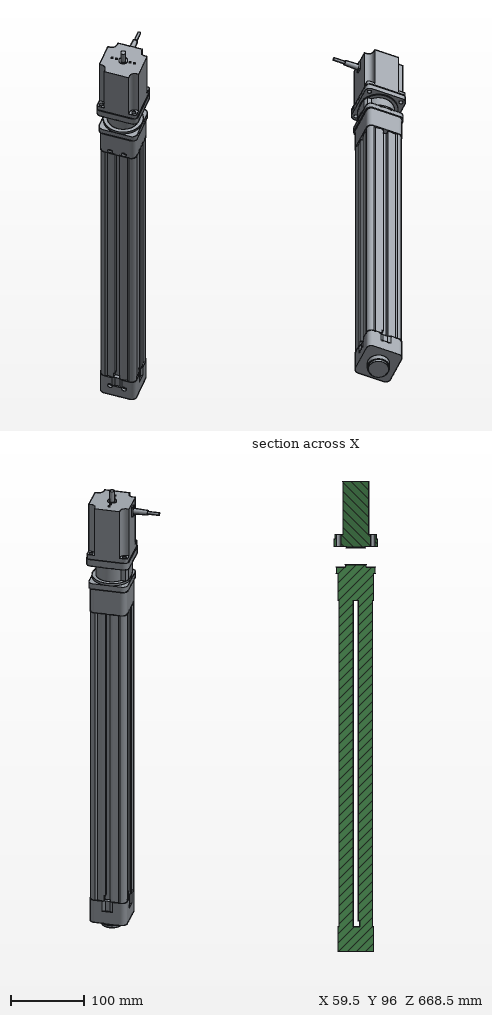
import cadquery as cq

BASE_Z = 12.0
PROFILE_BOTTOM_Z = 46.0
PROFILE_TOP_Z = 491.0
PLATE_Z = 527.5
PLATE_TOP_Z = 536.0
LOWER_RIM_Z = 539.5
UPPER_RIM_Z = 562.0
MOTOR_Z = 564.0
FLANGE_TOP_Z = 574.0
NOTCH_Z = 581.0
MOTOR_TOP_Z = 653.0
TOTAL_HEIGHT = 668.5

BODY_SIDE = 52.0
CORNER_RADIUS = 7.5
PROFILE_SIDE = 51.5
PROFILE_RADIUS = 8.0
PLATE_SIDE = 55.0
SPIGOT_RADIUS = 15.5
SPIGOT_TIP_RADIUS = 14.0
SPIGOT_LIP_Z = 4.0

LAND_INNER = 17.5
PANEL_HALF = 15.0
PANEL_DEPTH = 2.0
LIP_HALF = 7.5
LIP_DEPTH = 1.0
SLOT_HALF = 3.5
SLOT_DEPTH = 7.0
RELIEF_WIDTH = 2.0
RELIEF_HEIGHT = 8.0

CHANNEL_END_Z = 31.0
CHANNEL_DEPTH = 2.0

PORT_X = 10.0
PORT_DEPTH = 4.0
PORT_RADIUS = 3.5
LOWER_PORT_Z = 29.5
UPPER_PORT_Z = 495
PORT_BORE_RADIUS = 1.7
PORT_BORE_DEPTH = 10.0

COUPLING_RADIUS = 22.0
RIM_RADIUS = 27
COVER_HALF = 15.0
COVER_CHAMFER = 3.5

FLANGE_SIDE = 59.5
MOTOR_SIDE = 57.0
MOTOR_CORNER_RADIUS = 3.0
NOTCH_SIZE = 11.0
NOTCH_RADIUS = 7.5
BOLT_OFFSET = 23.5
BOLT_RADIUS = 3.0
SHAFT_RADIUS = 3.5
SHAFT_RING_RADIUS = 6.0
SHAFT_RING_DEPTH = 1.0
REAR_HOLE_X = (10.0, 16.0)
REAR_HOLE_RADIUS = 1.5
REAR_HOLE_DEPTH = 2.0

CABLE_Z = 641.0
CABLE_RADIUS = 2.0
OVERALL_DEPTH = 96.0
CABLE_END_Y = OVERALL_DEPTH - FLANGE_SIDE / 2
GLAND_END_Y = 50.0
GLAND_ROOT_RADIUS = 4.0
GLAND_TIP_RADIUS = 3.5
GLAND_PLATE_WIDTH = 8.0
GLAND_PLATE_HEIGHT = 14.0
GLAND_PLATE_THICKNESS = 2.0


def rounded_block(side, radius, bottom, top):
    block = cq.Workplane("XY").workplane(offset=bottom).rect(side, side).extrude(top - bottom)
    return block.edges("|Z").fillet(radius)


def cylinder(radius, bottom, top):
    return cq.Workplane("XY").workplane(offset=bottom).circle(radius).extrude(top - bottom)


def four_sides(shape):
    return [shape.rotate((0, 0, 0), (0, 0, 1), 90 * i) for i in range(4)]


def cylinder_along_y(x, z, radius, start, end):
    plane = cq.Workplane(cq.Plane((x, start, z), (1, 0, 0), (0, 1, 0)))
    return plane.circle(radius).extrude(end - start)


def face_cutter():
    """Everything removed from the front face of the profile."""
    face = -PROFILE_SIDE / 2
    panel = face + PANEL_DEPTH
    lip = face + LIP_DEPTH
    floor = face + SLOT_DEPTH
    right_half = [
        (SLOT_HALF, floor),
        (SLOT_HALF, lip),
        (LIP_HALF, lip),
        (PANEL_HALF, panel),
        (LAND_INNER, face),
    ]
    left_half = [(-x, y) for x, y in reversed(right_half)]
    cutter = (
        cq.Workplane("XY").workplane(offset=PROFILE_BOTTOM_Z)
        .polyline(right_half + left_half).close()
        .extrude(PROFILE_TOP_Z - PROFILE_BOTTOM_Z)
    )
    relief = cq.Workplane("XY").box(RELIEF_WIDTH, SLOT_DEPTH, RELIEF_HEIGHT, centered=False)
    return cutter.union(relief.translate((-SLOT_HALF - RELIEF_WIDTH, face, PROFILE_BOTTOM_Z)))


def sensor_channel():
    face = -BODY_SIDE / 2
    floor = face + CHANNEL_DEPTH
    outline = [(-LIP_HALF, face), (LIP_HALF, face), (SLOT_HALF, floor), (-SLOT_HALF, floor)]
    return (
        cq.Workplane("XY").workplane(offset=CHANNEL_END_Z)
        .polyline(outline).close().extrude(PROFILE_BOTTOM_Z - CHANNEL_END_Z)
    )


def port(x, z):
    face = -BODY_SIDE / 2
    recess = cylinder_along_y(x, z, PORT_RADIUS, face, face + PORT_DEPTH)
    return recess.union(cylinder_along_y(x, z, PORT_BORE_RADIUS, face, face + PORT_BORE_DEPTH))


def build_actuator():
    profile = rounded_block(PROFILE_SIDE, PROFILE_RADIUS, PROFILE_BOTTOM_Z, PROFILE_TOP_Z)
    for cutter in four_sides(face_cutter()):
        profile = profile.cut(cutter)
    foot = rounded_block(BODY_SIDE, CORNER_RADIUS, BASE_Z, PROFILE_BOTTOM_Z)
    for channel in four_sides(sensor_channel()):
        foot = foot.cut(channel)
    head = rounded_block(BODY_SIDE, CORNER_RADIUS, PROFILE_TOP_Z, PLATE_Z)
    body = foot.union(profile).union(head)
    for x in (-PORT_X, PORT_X):
        for z in (LOWER_PORT_Z, UPPER_PORT_Z):
            body = body.cut(port(x, z))

    body = body.union(cylinder(SPIGOT_RADIUS, SPIGOT_LIP_Z, BASE_Z))
    body = body.union(cylinder(SPIGOT_TIP_RADIUS, 0, SPIGOT_LIP_Z))

    body = body.union(rounded_block(PLATE_SIDE, CORNER_RADIUS, PLATE_Z, PLATE_TOP_Z))
    body = body.union(cylinder(PLATE_SIDE / 2, PLATE_TOP_Z, LOWER_RIM_Z))
    body = body.union(cylinder(COUPLING_RADIUS, PLATE_TOP_Z, MOTOR_Z))
    body = body.union(cylinder(RIM_RADIUS, UPPER_RIM_Z, MOTOR_Z))
    cover = cq.Workplane("XY").box(
        2 * COVER_HALF, BODY_SIDE / 2, UPPER_RIM_Z - LOWER_RIM_Z, centered=(True, False, False)
    )
    cover = cover.edges("|Z and >Y").chamfer(COVER_CHAMFER)
    return body.union(cover.translate((0, 0, LOWER_RIM_Z)))


def corner_notch():
    reach = MOTOR_SIDE / 2 - NOTCH_SIZE
    notch = cq.Workplane("XY").box(
        2 * NOTCH_SIZE, 2 * NOTCH_SIZE, MOTOR_TOP_Z - NOTCH_Z, centered=False
    )
    notch = notch.edges("|Z and <X and <Y").fillet(NOTCH_RADIUS)
    return notch.translate((reach, reach, NOTCH_Z))


def cable_outlet():
    side = MOTOR_SIDE / 2
    plate_face = side + GLAND_PLATE_THICKNESS
    plate = cq.Workplane("XY").box(
        GLAND_PLATE_WIDTH, plate_face, GLAND_PLATE_HEIGHT, centered=(True, False, True)
    )
    plate = plate.translate((0, 0, CABLE_Z))
    gland = cq.Workplane("XY").add(
        cq.Solid.makeCone(
            GLAND_ROOT_RADIUS, GLAND_TIP_RADIUS, GLAND_END_Y - plate_face,
            pnt=cq.Vector(0, plate_face, CABLE_Z), dir=cq.Vector(0, 1, 0),
        )
    )
    cable = cylinder_along_y(0, CABLE_Z, CABLE_RADIUS, 0, CABLE_END_Y)
    return plate.union(gland).union(cable)


def build_motor():
    motor = rounded_block(MOTOR_SIDE, MOTOR_CORNER_RADIUS, MOTOR_Z, MOTOR_TOP_Z)
    for notch in four_sides(corner_notch()):
        motor = motor.cut(notch)

    flange = rounded_block(FLANGE_SIDE, CORNER_RADIUS, MOTOR_Z, FLANGE_TOP_Z)
    motor = motor.union(flange)
    bolt_hole = cylinder(BOLT_RADIUS, MOTOR_Z, NOTCH_Z).translate((BOLT_OFFSET, BOLT_OFFSET, 0))
    for hole in four_sides(bolt_hole):
        motor = motor.cut(hole)

    motor = motor.cut(cylinder(SHAFT_RING_RADIUS, MOTOR_TOP_Z - SHAFT_RING_DEPTH, MOTOR_TOP_Z))
    for offset in REAR_HOLE_X:
        for x in (-offset, offset):
            hole = cylinder(REAR_HOLE_RADIUS, MOTOR_TOP_Z - REAR_HOLE_DEPTH, MOTOR_TOP_Z)
            motor = motor.cut(hole.translate((x, 0, 0)))
    motor = motor.union(cylinder(SHAFT_RADIUS, MOTOR_Z, TOTAL_HEIGHT))
    return motor.union(cable_outlet())


actuator = build_actuator()
motor = build_motor()
result = cq.Compound.makeCompound([actuator.solids().val(), motor.solids().val()])